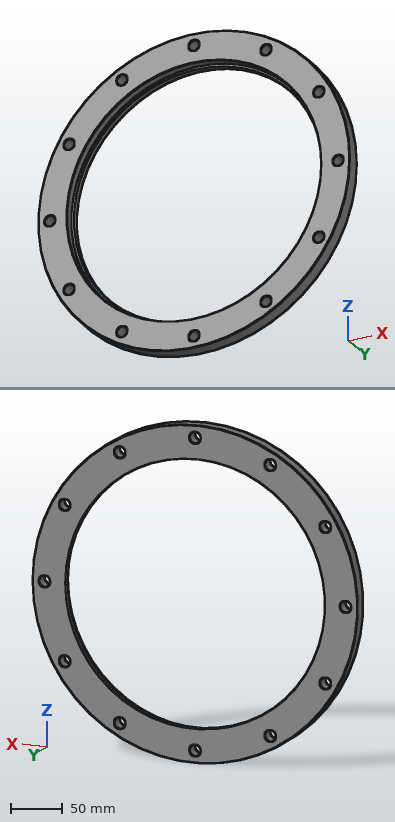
import cadquery as cq

outer_diameter = 335.0
thickness = 16.0
bore_diameter = 267.3
recess_diameter = 273.0
recess_depth = 9.5

bolt_circle_diameter = 310.0
bolt_hole_diameter = 11.0
bolt_count = 12

edge_break = 0.5


def disc(diameter, length):
    """Cylinder that starts on the front face and runs back along +Y."""
    front_plane = cq.Workplane("XZ", origin=(0, -thickness / 2, 0))
    return front_plane.circle(diameter / 2).extrude(-length)


def flange_body():
    """Ring with a chamfered rim and a bore that passes right through."""
    rim = disc(outer_diameter, thickness).faces("<Y or >Y").edges().chamfer(edge_break)
    return rim.cut(disc(bore_diameter, thickness))


def recess():
    """Shallow counterbore in the front face, with a chamfered mouth."""
    radius = recess_diameter / 2
    front = -thickness / 2
    floor = front + recess_depth
    profile = (
        cq.Workplane("XY")
        .moveTo(0, front)
        .lineTo(radius + edge_break, front)
        .lineTo(radius, front + edge_break)
        .lineTo(radius, floor)
        .lineTo(0, floor)
        .close()
    )
    return profile.revolve(360, (0, 0, 0), (0, 1, 0))


def bolt_hole():
    """Through hole at the top of the bolt circle, chamfered at both ends."""
    radius = bolt_hole_diameter / 2
    mouth_radius = radius + edge_break
    front = -thickness / 2
    back = thickness / 2
    profile = (
        cq.Workplane("XY")
        .moveTo(0, front)
        .lineTo(mouth_radius, front)
        .lineTo(radius, front + edge_break)
        .lineTo(radius, back - edge_break)
        .lineTo(mouth_radius, back)
        .lineTo(0, back)
        .close()
    )
    hole = profile.revolve(360, (0, 0, 0), (0, 1, 0))
    return hole.translate((0, 0, bolt_circle_diameter / 2))


result = flange_body().cut(recess())
for index in range(bolt_count):
    angle = index * 360 / bolt_count
    result = result.cut(bolt_hole().rotate((0, 0, 0), (0, 1, 0), angle))